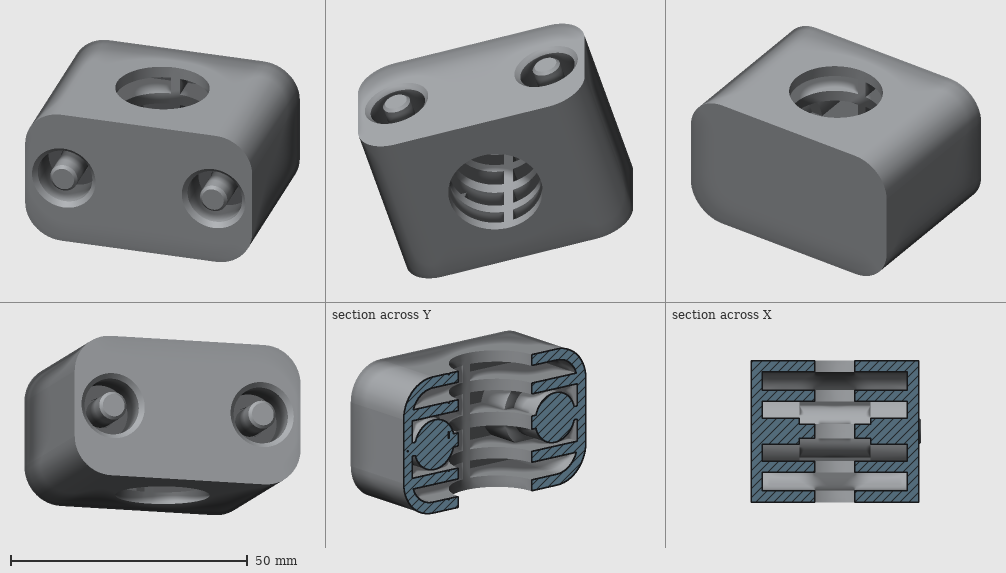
import cadquery as cq

width = 50.0
depth = 35.5
height = 30.0
corner_radius = 8.0

main_hole_length_x = 20.0
main_hole_length_y = 19.4

wall = 2.5
plate = 2.5
top_level_height = 3.75
inner_level_height = 4.75
rib_thickness = 2.0
top_level_floor = height / 2 - wall - top_level_height
inner_level_floor = top_level_floor - plate - inner_level_height

pin_offset = 16.5
boss_diameter = 11.0
end_boss_diameter = 16.0
end_boss_length = 10.25

counterbore_diameter = 12.0
mouth_diameter = 14.0
mouth_depth = (mouth_diameter - counterbore_diameter) / 2
counterbore_depth = 9.0

pin_diameter = 6.0
pin_protrusion = 0.5
pin_chamfer = 0.6
shank_diameter = 6.4
shank_setback = 0.5
pin_clearance_diameter = 6.5
clearance_depth = 2.0


def rounded_block(inset):
    """Block with every face moved inward by the inset."""
    return (
        cq.Workplane("XY")
        .box(width - 2 * inset, depth - 2 * inset, height - 2 * inset)
        .translate((0, depth / 2, 0))
        .edges("|Y")
        .fillet(corner_radius - inset)
    )


def rod(x, diameter, start, end):
    """Cylinder along Y at pin height, between two Y positions."""
    return (
        cq.Workplane("XZ", origin=(x, start, 0))
        .circle(diameter / 2)
        .extrude(start - end)
    )


def hollow_level(floor, level_height):
    """Flat layer of the hollow interior resting on the given floor."""
    return (
        cq.Workplane("XY")
        .box(width, depth, level_height, centered=(True, False, False))
        .translate((0, 0, floor))
    )


def hollow_levels():
    """Two levels above the middle plate and their mirror images below it."""
    top_level = hollow_level(top_level_floor, top_level_height)
    inner_level = hollow_level(inner_level_floor, inner_level_height)
    upper = top_level.union(inner_level)
    levels = upper.union(upper.mirror("XY")).intersect(rounded_block(wall))
    rib = cq.Workplane("XY").box(rib_thickness, depth, height).translate((0, depth / 2, 0))
    levels = levels.cut(rib)
    for x in (-pin_offset, pin_offset):
        levels = levels.cut(rod(x, boss_diameter, 0, depth))
        levels = levels.cut(rod(x, end_boss_diameter, 0, end_boss_length))
        levels = levels.cut(rod(x, end_boss_diameter, depth - end_boss_length, depth))
    return levels


def pin_recess(x):
    """Counterbore with a conical mouth and a clearance groove at the pin root."""
    groove_end = counterbore_depth + clearance_depth
    bore = rod(x, counterbore_diameter, 0, counterbore_depth)
    mouth = (
        cq.Workplane("XZ", origin=(x, 0, 0))
        .circle(mouth_diameter / 2)
        .workplane(offset=-mouth_depth)
        .circle(counterbore_diameter / 2)
        .loft()
    )
    groove = rod(x, pin_clearance_diameter, 0, groove_end)
    return bore.union(mouth).union(groove)


def pin(x):
    """Pin with a chamfered tip on a wider shank rooted at the bottom of the groove."""
    shank_start = counterbore_depth + shank_setback
    root = counterbore_depth + clearance_depth
    tip = rod(x, pin_diameter, -pin_protrusion, root).faces("<Y").chamfer(pin_chamfer)
    return tip.union(rod(x, shank_diameter, shank_start, root))


def main_hole():
    """Vertical oval hole through the centre of the block."""
    return (
        cq.Workplane("XY", origin=(0, depth / 2, -height / 2))
        .ellipse(main_hole_length_x / 2, main_hole_length_y / 2)
        .extrude(height)
    )


result = rounded_block(0).cut(hollow_levels()).cut(main_hole())
for x in (-pin_offset, pin_offset):
    result = result.cut(pin_recess(x)).union(pin(x))